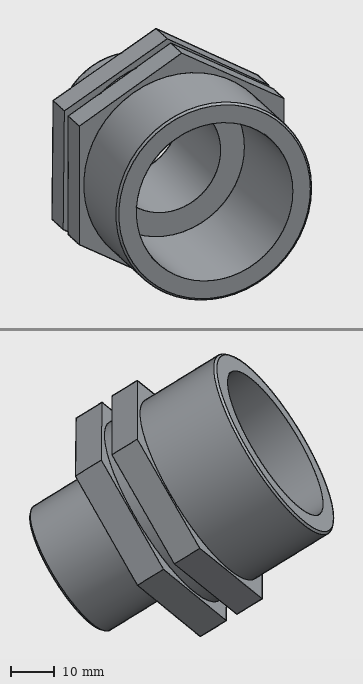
import cadquery as cq


total_length = 57.0
collar_start = 18.95
collar_width = 7.2
nut_start = 29.0
nut_width = 7.05

spigot_diameter = 33.25
body_diameter = 47.8
spigot_bore_diameter = 26.6
body_bore_diameter = 38.2
end_chamfer = 0.5

hex_corner_size = 57.75
collar_turn = -0.57


def cylinder(start, end, diameter):
    """Round bar along X between two stations."""
    return cq.Workplane("YZ", origin=(start, 0, 0)).circle(diameter / 2).extrude(end - start)


def hexagon(start, width, corner_size, turn=0):
    """Hexagonal plate across X, with corners up and down before it is turned."""
    plate = cq.Workplane("YZ", origin=(start, 0, 0)).polygon(6, corner_size).extrude(width)
    return plate.rotate((0, 0, 0), (1, 0, 0), 90 + turn)


spigot = cylinder(0, collar_start, spigot_diameter).faces("<X").chamfer(end_chamfer)
body = cylinder(collar_start, total_length, body_diameter).faces(">X").chamfer(end_chamfer)
collar = hexagon(collar_start, collar_width, hex_corner_size, collar_turn)
nut = hexagon(nut_start, nut_width, hex_corner_size)
spigot_bore = cylinder(0, total_length, spigot_bore_diameter)
body_bore = cylinder(collar_start + collar_width, total_length, body_bore_diameter)

result = spigot.union(body).union(collar).union(nut).cut(spigot_bore).cut(body_bore)